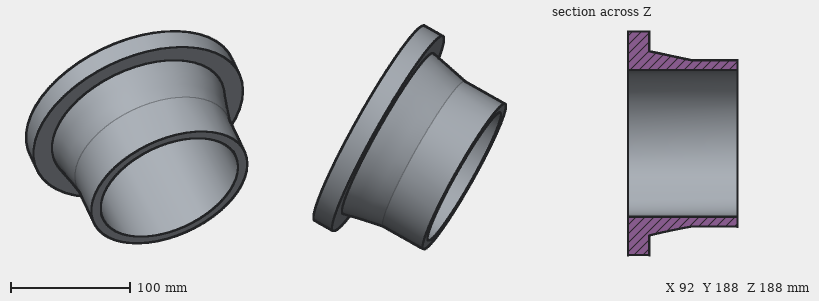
import cadquery as cq

total_length = 92.0
collar_thickness = 18.0
taper_length = 35.0

collar_radius = 188 / 2
taper_radius = 155.0 / 2
pipe_radius = 140.0 / 2
bore_radius = 123.1 / 2

pipe_start = collar_thickness + taper_length

wall_section = (
    cq.Workplane("XY")
    .moveTo(0, bore_radius)
    .lineTo(0, collar_radius)
    .lineTo(collar_thickness, collar_radius)
    .lineTo(collar_thickness, taper_radius)
    .lineTo(pipe_start, pipe_radius)
    .lineTo(total_length, pipe_radius)
    .lineTo(total_length, bore_radius)
    .close()
)

result = wall_section.revolve(360, (0, 0, 0), (1, 0, 0))